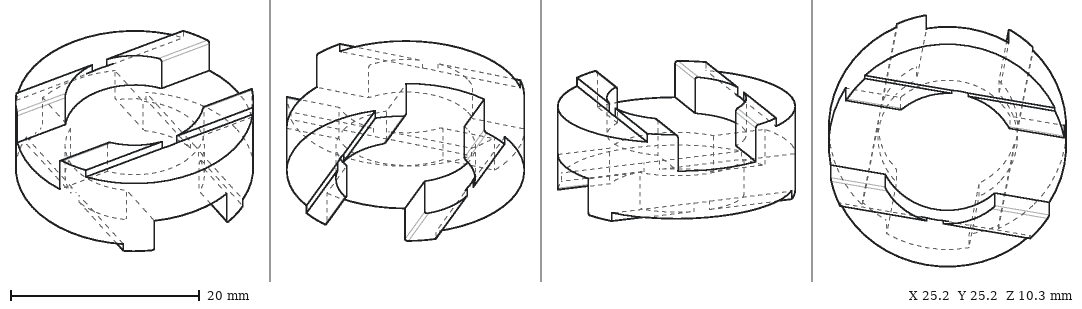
import cadquery as cq
import math

disc_diameter = 25.2
total_height = 10.3
channel_width = 8.87
channel_depth = 4.05
rib_outer_width = 14.67
rib_height = 0.93
rib_gap = 1.76
rib_edge_radius = 0.3

disc_radius = disc_diameter / 2
half_height = total_height / 2
pocket_radius = math.hypot(rib_outer_width / 2, rib_gap / 2)


def face_half():
    """Upper half of the disc, with its channel and ribs running along Y."""
    half = cq.Workplane("XY").circle(disc_radius).extrude(half_height)

    shoulder_width = disc_radius - rib_outer_width / 2
    shoulder_center = rib_outer_width / 2 + shoulder_width / 2
    shoulder_cuts = (
        cq.Workplane("XY", origin=(0, 0, half_height - rib_height))
        .pushPoints([(-shoulder_center, 0), (shoulder_center, 0)])
        .rect(shoulder_width, disc_diameter)
        .extrude(rib_height)
    )

    floor = half_height - channel_depth
    half_channel = channel_width / 2
    edge_start = half_height - rib_edge_radius
    edge_end = half_channel + rib_edge_radius
    channel = (
        cq.Workplane("XZ")
        .moveTo(-half_channel, floor)
        .lineTo(half_channel, floor)
        .lineTo(half_channel, edge_start)
        .radiusArc((edge_end, half_height), rib_edge_radius)
        .lineTo(-edge_end, half_height)
        .radiusArc((-half_channel, edge_start), rib_edge_radius)
        .close()
        .extrude(disc_radius, both=True)
    )

    pocket = (
        cq.Workplane("XY", origin=(0, 0, floor))
        .circle(pocket_radius)
        .extrude(channel_depth)
    )
    return half.cut(shoulder_cuts).cut(channel).cut(pocket)


upper_half = face_half()
lower_half = (
    face_half()
    .rotate((0, 0, 0), (1, 0, 0), 180)
    .rotate((0, 0, 0), (0, 0, 1), 90)
)
result = upper_half.union(lower_half)